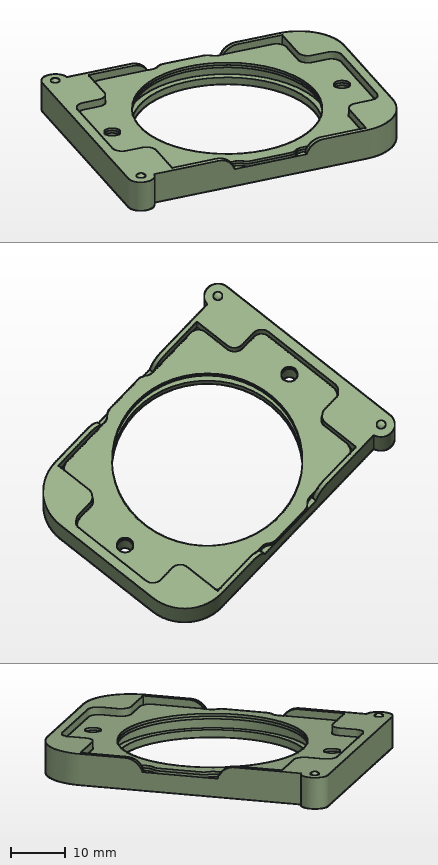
import cadquery as cq
import math

HOUSING_LENGTH = 56.45
FRONT_Y = -28.3
HOUSING_WIDTH = 40.4
HOUSING_HEIGHT = 6.0
BACK_CORNER_RADIUS = 9.0

OVERALL_WIDTH = 44.6
EAR_RADIUS = 2.5
EAR_FLAT_LENGTH = 0.1
EAR_X = OVERALL_WIDTH / 2 - EAR_RADIUS
EAR_LENGTH = 2 * EAR_RADIUS + EAR_FLAT_LENGTH
EAR_Y = FRONT_Y + EAR_LENGTH / 2
STUD_RADIUS = 0.85
STUD_HEIGHT = 0.45

PLATE_COUNT = 2
PLATE_THICKNESS = 0.5
PLATE_HALF_WIDTH = 19.15
PLATE_SHOULDER_Y = 19.25
TAB_HALF_WIDTH = 9.9
TAB_END_Y = 26.2
ROUNDING_RADIUS = 2.0
WING_REACH = HOUSING_WIDTH / 2
WING_FLAT_HALF_LENGTH = 3.95

SIDE_CLEARANCE = 0.15
TAB_END_CLEARANCE = 0.15
TAB_SIDE_CLEARANCE = 0.1
SHOULDER_CLEARANCE = 0.05
POCKET_DEPTH = 2.4
POCKET_FLOOR_Z = HOUSING_HEIGHT - POCKET_DEPTH

NOTCH_TOP_HALF_LENGTH = 10.45
NOTCH_FLANK_RADIUS = 3.45

BORE_DIAMETER = 34.9
COUNTERBORE_DIAMETER = 37.4
LEDGE_HEIGHT = 1.45
SCREW_HOLE_DIAMETER = 3.0
SCREW_HOLE_Y = 22.9

POSITION_TOLERANCE = 0.005


def cross_outline(half_width, shoulder_y, tab_half_width, tab_end_y):
    """Closed wire of a rectangle with a tab at each Y end; all corners sharp."""
    quarter = [(tab_half_width, tab_end_y), (tab_half_width, shoulder_y), (half_width, shoulder_y)]
    right = quarter + [(x, -y) for x, y in reversed(quarter)]
    left = [(-x, -y) for x, y in right]
    return cq.Workplane("XY").polyline(right + left).close()


def vertical_edges_at(body, places):
    """Select the vertical edges of the body that stand at the mirrored (+-x, +-y) places."""
    edges = []
    for edge in body.edges("|Z").vals():
        spot = edge.Center()
        if any(math.hypot(abs(spot.x) - x, abs(spot.y) - y) < POSITION_TOLERANCE for x, y in places):
            edges.append(edge)
    return body.newObject(edges)


def screw_holes():
    return (
        cq.Workplane("XY")
        .pushPoints([(0, SCREW_HOLE_Y), (0, -SCREW_HOLE_Y)])
        .circle(SCREW_HOLE_DIAMETER / 2)
        .extrude(HOUSING_HEIGHT)
    )


def bore():
    return cq.Workplane("XY").circle(BORE_DIAMETER / 2).extrude(HOUSING_HEIGHT)


def housing_block():
    block = (
        cq.Workplane("XY")
        .box(HOUSING_WIDTH, HOUSING_LENGTH, HOUSING_HEIGHT, centered=(True, False, False))
        .translate((0, FRONT_Y, 0))
        .edges("|Z and >Y")
        .fillet(BACK_CORNER_RADIUS)
    )
    corner_size = HOUSING_WIDTH / 2 - EAR_X
    corners = (
        cq.Workplane("XY")
        .pushPoints([(side * (EAR_X + corner_size / 2), EAR_Y - EAR_LENGTH / 4) for side in (-1, 1)])
        .rect(corner_size, EAR_LENGTH / 2)
        .extrude(HOUSING_HEIGHT)
    )
    ears = (
        cq.Workplane("XY")
        .pushPoints([(-EAR_X, EAR_Y), (EAR_X, EAR_Y)])
        .slot2D(EAR_LENGTH, 2 * EAR_RADIUS, angle=90)
        .extrude(HOUSING_HEIGHT)
    )
    return block.cut(corners).union(ears)


def stud():
    """Spherical cap with its flat side on the XY plane."""
    sphere_radius = (STUD_RADIUS**2 + STUD_HEIGHT**2) / (2 * STUD_HEIGHT)
    sphere = cq.Workplane("XY").sphere(sphere_radius).translate((0, 0, STUD_HEIGHT - sphere_radius))
    envelope = cq.Workplane("XY").circle(STUD_RADIUS).extrude(STUD_HEIGHT)
    return sphere.intersect(envelope)


def pocket():
    tab_half_width = TAB_HALF_WIDTH + TAB_SIDE_CLEARANCE
    tab_end_y = TAB_END_Y + TAB_END_CLEARANCE
    shoulder_y = PLATE_SHOULDER_Y + SHOULDER_CLEARANCE
    outline = cross_outline(PLATE_HALF_WIDTH + SIDE_CLEARANCE, shoulder_y, tab_half_width, tab_end_y)
    body = outline.extrude(POCKET_DEPTH)
    tab_corners = [(tab_half_width, tab_end_y), (tab_half_width, shoulder_y)]
    body = vertical_edges_at(body, tab_corners).fillet(ROUNDING_RADIUS)
    return body.translate((0, 0, POCKET_FLOOR_Z))


def side_notch():
    """Cutter running across the full width, down to the pocket floor."""

    def flank_half_length(depth):
        drop = NOTCH_FLANK_RADIUS - depth
        return NOTCH_TOP_HALF_LENGTH - math.sqrt(NOTCH_FLANK_RADIUS**2 - drop**2)

    top_z = HOUSING_HEIGHT
    middle_depth = POCKET_DEPTH / 2
    middle_y = flank_half_length(middle_depth)
    floor_y = flank_half_length(POCKET_DEPTH)
    return (
        cq.Workplane("YZ")
        .moveTo(-NOTCH_TOP_HALF_LENGTH, top_z)
        .threePointArc((-middle_y, top_z - middle_depth), (-floor_y, POCKET_FLOOR_Z))
        .lineTo(floor_y, POCKET_FLOOR_Z)
        .threePointArc((middle_y, top_z - middle_depth), (NOTCH_TOP_HALF_LENGTH, top_z))
        .close()
        .extrude(HOUSING_WIDTH / 2, both=True)
    )


def make_housing():
    counterbore = (
        cq.Workplane("XY")
        .workplane(offset=LEDGE_HEIGHT)
        .circle(COUNTERBORE_DIAMETER / 2)
        .extrude(HOUSING_HEIGHT - LEDGE_HEIGHT)
    )
    body = housing_block()
    for cutter in (pocket(), side_notch(), bore(), counterbore, screw_holes()):
        body = body.cut(cutter)
    for x in (-EAR_X, EAR_X):
        body = body.union(stud().translate((x, EAR_Y, HOUSING_HEIGHT)))
    return body


def wings():
    """Bar across the plate; each end has two S-curves leading from the plate side to the wing tip.

    An S-curve is a concave arc followed by a convex arc of the same radius, meeting halfway.
    """
    half_rise = (WING_REACH - PLATE_HALF_WIDTH) / 2
    half_run = math.sqrt(ROUNDING_RADIUS**2 - (ROUNDING_RADIUS - half_rise) ** 2)
    middle = (PLATE_HALF_WIDTH + half_rise, WING_FLAT_HALF_LENGTH + half_run)
    root = (PLATE_HALF_WIDTH, WING_FLAT_HALF_LENGTH + 2 * half_run)
    quarter = (
        cq.Workplane("XY")
        .lineTo(0, root[1])
        .lineTo(*root)
        .radiusArc(middle, -ROUNDING_RADIUS)
        .radiusArc((WING_REACH, WING_FLAT_HALF_LENGTH), ROUNDING_RADIUS)
        .lineTo(WING_REACH, 0)
        .close()
        .extrude(PLATE_THICKNESS)
    )
    half = quarter.union(quarter.mirror("XZ"))
    return half.union(half.mirror("YZ"))


def make_plate(bottom_z):
    outline = cross_outline(PLATE_HALF_WIDTH, PLATE_SHOULDER_Y, TAB_HALF_WIDTH, TAB_END_Y)
    corners = [
        (TAB_HALF_WIDTH, TAB_END_Y),
        (TAB_HALF_WIDTH, PLATE_SHOULDER_Y),
        (PLATE_HALF_WIDTH, PLATE_SHOULDER_Y),
    ]
    body = vertical_edges_at(outline.extrude(PLATE_THICKNESS), corners).fillet(ROUNDING_RADIUS)
    body = body.union(wings()).cut(bore()).cut(screw_holes())
    return body.translate((0, 0, bottom_z))


housing = make_housing()
plates = [make_plate(POCKET_FLOOR_Z + level * PLATE_THICKNESS) for level in range(PLATE_COUNT)]

result = cq.Compound.makeCompound([housing.val(), *(plate.val() for plate in plates)])